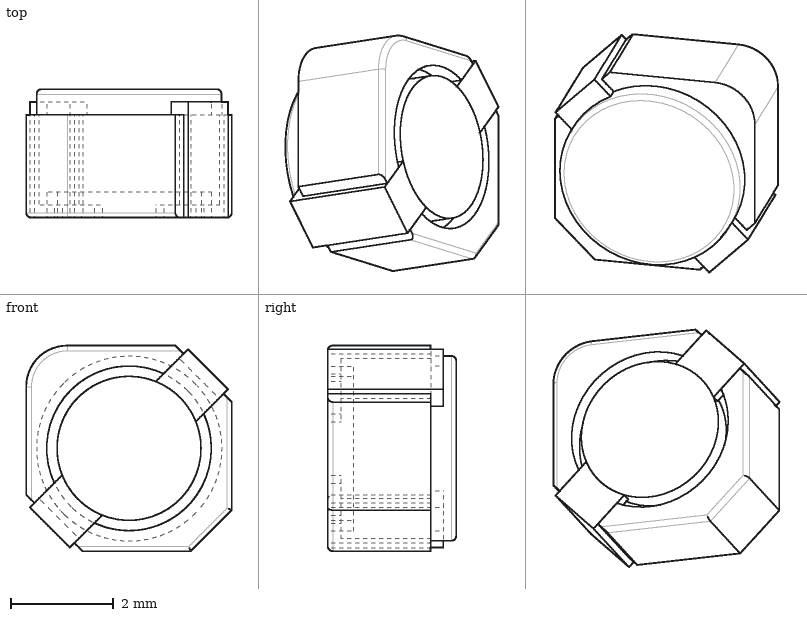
import cadquery as cq
import math

side = 4.0
block_depth = 2.0
round_corner_radius = 0.8
plain_chamfer = 0.8
terminal_chamfer = 1.1
edge_fillet = 0.1

flange_radius = 1.8
flange_height = 0.5

post_radius = 1.4
groove_radius = 1.6
groove_depth = 0.5

strip_width = 1.1
strip_thickness = 0.25
strip_proud = strip_thickness / 2
corner_angles = [-45, 135]

half_side = side / 2
chamfer_distance = (side - terminal_chamfer) / math.sqrt(2)
strip_outer = chamfer_distance + strip_proud
strip_inner = strip_outer - strip_thickness
strip_back = block_depth + strip_thickness


def cylinder(radius, y_start, y_end):
    """Cylinder on the Y axis between two Y positions."""
    length = y_end - y_start
    return cq.Workplane("XZ", origin=(0, y_start, 0)).circle(radius).extrude(-length)


def box_from_axis(reach, y_start, y_end):
    """Strip-wide box from the Y axis out to +X."""
    depth = y_end - y_start
    return (
        cq.Workplane("XY", origin=(0, y_start, 0))
        .box(reach, depth, strip_width, centered=(False, False, True))
    )


def make_terminal(corner_angle):
    """C-shaped strip: front foot, outer plate and back hook, turned to its corner."""
    foot = box_from_axis(strip_outer, 0, strip_thickness)
    foot = foot.cut(cylinder(post_radius, 0, strip_thickness))

    plate = box_from_axis(strip_outer, 0, strip_back)
    plate = plate.cut(box_from_axis(strip_inner, 0, strip_back))

    hook = box_from_axis(strip_outer, block_depth, strip_back)
    hook = hook.cut(cylinder(flange_radius, block_depth, strip_back))

    strip = plate.union(foot).union(hook)
    return strip.rotate((0, 0, 0), (0, 1, 0), corner_angle)


def make_block():
    """Square block with one round corner and three chamfered corners."""
    block = cq.Workplane("XZ").rect(side, side).extrude(-block_depth)
    block = block.edges("|Y and <X and >Z").fillet(round_corner_radius)
    block = block.edges("|Y and >X and <Z").chamfer(plain_chamfer)
    block = block.faces("<Y").edges().fillet(edge_fillet)

    corner_tip = half_side - terminal_chamfer
    corner = (
        cq.Workplane("XZ")
        .polyline([(half_side, half_side), (corner_tip, half_side), (half_side, corner_tip)])
        .close()
        .extrude(-block_depth)
    )
    for turn in (0, 180):
        block = block.cut(corner.rotate((0, 0, 0), (0, 1, 0), turn))
    return block


def make_housing(terminals):
    """Block with back flange, front groove and recesses for the terminals."""
    flange = cylinder(flange_radius, block_depth, block_depth + flange_height)
    flange = flange.faces(">Y").edges().fillet(edge_fillet)
    groove = cylinder(groove_radius, 0, groove_depth).cut(cylinder(post_radius, 0, groove_depth))

    housing = make_block().union(flange).cut(groove)
    for terminal in terminals:
        housing = housing.cut(terminal)
    return housing


terminals = [make_terminal(angle) for angle in corner_angles]
housing = make_housing(terminals)

result = cq.Compound.makeCompound(
    [housing.solids().val(), *[terminal.solids().val() for terminal in terminals]]
)